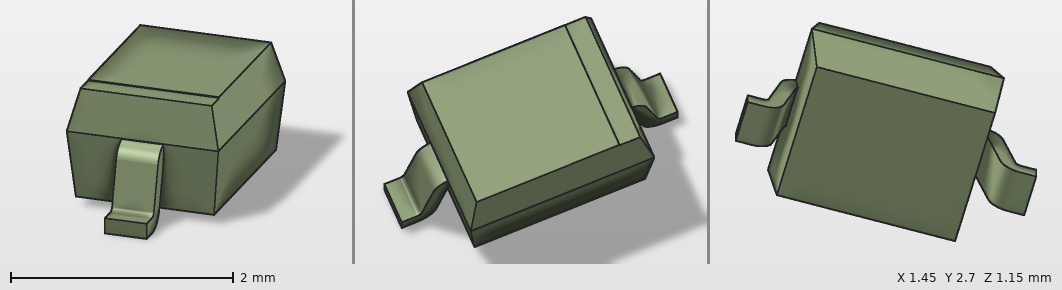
import cadquery as cq
import math


body_width = 1.45
body_length = 1.798
body_bottom_z = 0.1
parting_z = 0.75
body_top_z = 1.15
bottom_inset = 0.065
top_inset = 0.1

band_length = 0.2
band_depth = 0.008

lead_span = 2.7
lead_width = 0.4
lead_thickness = 0.148
inner_bend_radius = 0.049
outer_bend_radius = inner_bend_radius + lead_thickness
foot_length = 0.148
leg_lean = 15.0


def tapered_block(base_z, height, inset):
    """Block on the parting outline, drawn in by `inset` on every side at its far end."""
    taper = math.degrees(math.atan2(inset, abs(height)))
    return (
        cq.Workplane("XY")
        .workplane(offset=base_z)
        .rect(body_width, body_length)
        .extrude(height, taper=taper)
    )


def make_moulding():
    """Upper and lower halves of the body, with the polarity band sunk into the top."""
    upper = tapered_block(parting_z, body_top_z - parting_z, top_inset)
    lower = tapered_block(parting_z, body_bottom_z - parting_z, bottom_inset)
    band_edge_y = top_inset + band_length - body_length / 2
    band = cq.Workplane("XY").box(
        body_width, body_length, band_depth, centered=(True, False, False)
    ).translate((0, band_edge_y - body_length, body_top_z - band_depth))
    return upper.union(lower).cut(band)


def make_lead():
    """Lead at the +Y end: a bend out of the body, a leaning leg, a bend and a flat foot."""
    lean = math.radians(leg_lean)
    tip_y = lead_span / 2
    foot_bend = (tip_y - foot_length, outer_bend_radius)
    top_bend_z = parting_z - outer_bend_radius
    bend_rise = top_bend_z - foot_bend[1]
    radius_sum = outer_bend_radius + inner_bend_radius
    bend_run = radius_sum / math.cos(lean) + bend_rise * math.tan(lean)
    top_bend = (foot_bend[0] - bend_run, top_bend_z)

    def on_bend(center, radius, angle):
        """Point on a bend, with its angle in radians from +Y towards +Z."""
        return (center[0] + radius * math.cos(angle), center[1] + radius * math.sin(angle))

    top_start = math.pi / 2
    top_middle = (top_start + lean) / 2
    foot_start = top_start + math.pi
    foot_middle = top_middle + math.pi
    foot_end = lean + math.pi

    return (
        cq.Workplane("YZ")
        .moveTo(*on_bend(top_bend, outer_bend_radius, top_start))
        .threePointArc(
            on_bend(top_bend, outer_bend_radius, top_middle),
            on_bend(top_bend, outer_bend_radius, lean),
        )
        .lineTo(*on_bend(foot_bend, inner_bend_radius, foot_end))
        .threePointArc(
            on_bend(foot_bend, inner_bend_radius, foot_middle),
            on_bend(foot_bend, inner_bend_radius, foot_start),
        )
        .lineTo(tip_y, lead_thickness)
        .lineTo(tip_y, 0)
        .lineTo(*on_bend(foot_bend, outer_bend_radius, foot_start))
        .threePointArc(
            on_bend(foot_bend, outer_bend_radius, foot_middle),
            on_bend(foot_bend, outer_bend_radius, foot_end),
        )
        .lineTo(*on_bend(top_bend, inner_bend_radius, lean))
        .threePointArc(
            on_bend(top_bend, inner_bend_radius, top_middle),
            on_bend(top_bend, inner_bend_radius, top_start),
        )
        .close()
        .extrude(lead_width / 2, both=True)
    )


leads = []
body = make_moulding()
for turn in (0, 180):
    lead = make_lead().rotate((0, 0, 0), (0, 0, 1), turn)
    body = body.cut(lead)
    leads.append(lead)

result = cq.Compound.makeCompound([body.solids().val(), *[lead.solids().val() for lead in leads]])